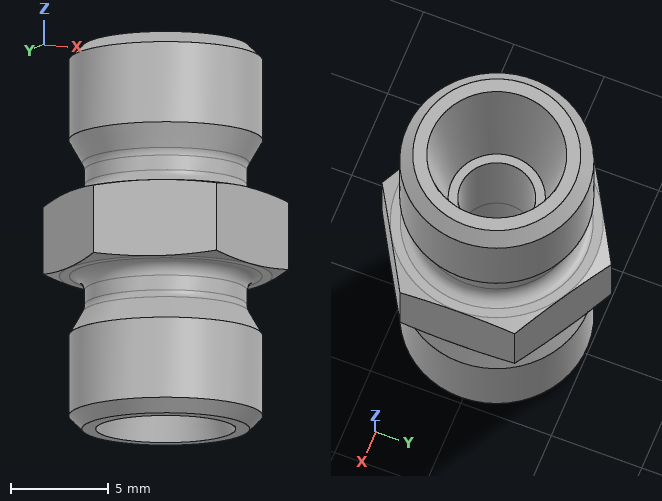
import cadquery as cq
import math

length = 20.0
half_length = length / 2
across_flats = 11.0
hex_height = 4.0
hex_half = hex_height / 2

thread_radius = 5.0
end_radius = 4.32
end_chamfer_height = 0.68
thread_length = 4.88
neck_radius = 4.2
neck_taper_angle = 30.0
taper_blend_radius = 0.75
collar_fillet = 0.75

hex_chamfer_angle = 15.0
hex_face_radius = 5.48

bore_radius = 2.0
cone_mouth_radius = 3.6
cone_floor_radius = 2.5
cone_half_angle = 12.0


def revolve(profile):
    """Turn a closed (radius, z) profile about the Z axis."""
    return profile.close().revolve(360, (0, 0, 0), (0, 1, 0))


def both_ends(upper):
    """Join an upper-end body with its mirror image below the XY plane."""
    return upper.union(upper.mirror("XY"))


def hexagon():
    """Hexagon with flats facing +X and -X and its corners turned off at both faces."""
    across_corners = across_flats / math.cos(math.radians(30))
    prism = (
        cq.Workplane("XY")
        .workplane(offset=-hex_half)
        .polygon(6, across_corners)
        .extrude(hex_height)
        .rotate((0, 0, 0), (0, 0, 1), 30)
    )
    corner_radius = across_corners / 2
    drop = (corner_radius - hex_face_radius) * math.tan(math.radians(hex_chamfer_angle))
    envelope = revolve(
        cq.Workplane("XZ")
        .moveTo(0, -hex_half)
        .lineTo(hex_face_radius, -hex_half)
        .lineTo(corner_radius, -hex_half + drop)
        .lineTo(corner_radius, hex_half - drop)
        .lineTo(hex_face_radius, hex_half)
        .lineTo(0, hex_half)
    )
    return prism.intersect(envelope)


def threaded_end():
    """Upper spigot: concave collar fillet, neck, blended taper, thread and end chamfer."""
    taper = math.radians(neck_taper_angle)
    thread_start = half_length - thread_length
    taper_height = (thread_radius - neck_radius) / math.tan(taper)
    tangent = taper_blend_radius * math.tan(taper / 2)
    corner_z = thread_start - taper_height
    blend_start = (neck_radius, corner_z - tangent)
    blend_end = (
        neck_radius + tangent * math.sin(taper),
        corner_z + tangent * math.cos(taper),
    )
    blend_middle = (
        neck_radius + taper_blend_radius * (1 - math.cos(taper / 2)),
        blend_start[1] + taper_blend_radius * math.sin(taper / 2),
    )
    fillet_offset = collar_fillet * (1 - math.sqrt(0.5))
    return revolve(
        cq.Workplane("XZ")
        .lineTo(neck_radius + collar_fillet, 0)
        .lineTo(neck_radius + collar_fillet, hex_half)
        .threePointArc(
            (neck_radius + fillet_offset, hex_half + fillet_offset),
            (neck_radius, hex_half + collar_fillet),
        )
        .lineTo(*blend_start)
        .threePointArc(blend_middle, blend_end)
        .lineTo(thread_radius, thread_start)
        .lineTo(thread_radius, half_length - end_chamfer_height)
        .lineTo(end_radius, half_length)
        .lineTo(0, half_length)
    )


def bore():
    """Upper half of the bore, with its conical mouth."""
    cone_depth = (cone_mouth_radius - cone_floor_radius) / math.tan(math.radians(cone_half_angle))
    return revolve(
        cq.Workplane("XZ")
        .lineTo(bore_radius, 0)
        .lineTo(bore_radius, half_length - cone_depth)
        .lineTo(cone_floor_radius, half_length - cone_depth)
        .lineTo(cone_mouth_radius, half_length)
        .lineTo(0, half_length)
    )


result = hexagon().union(both_ends(threaded_end())).cut(both_ends(bore()))